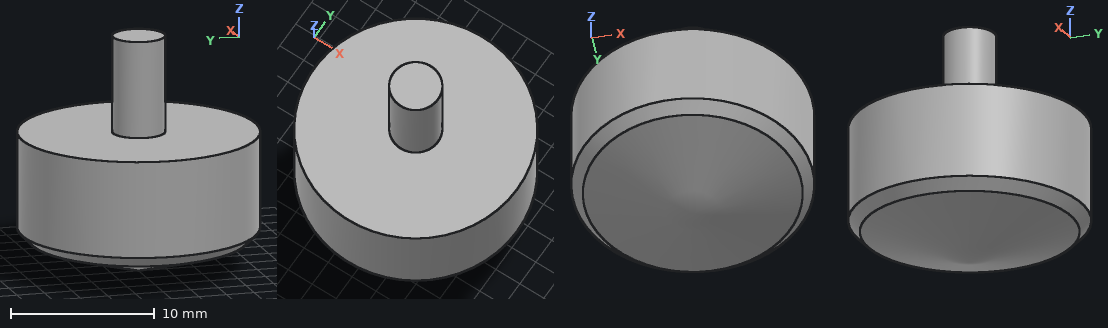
import cadquery as cq

total_height = 16.9
body_diameter = 16.9
stem_diameter = 3.7
stem_length = 6.9
cone_height = 2.32
chamfer = 0.81

body_radius = body_diameter / 2
stem_radius = stem_diameter / 2
cone_radius = body_radius - chamfer
wall_bottom = cone_height + chamfer
body_top = total_height - stem_length

half_section = (
    cq.Workplane("XZ")
    .moveTo(0, 0)
    .lineTo(cone_radius, cone_height)
    .lineTo(body_radius, wall_bottom)
    .lineTo(body_radius, body_top)
    .lineTo(stem_radius, body_top)
    .lineTo(stem_radius, total_height)
    .lineTo(0, total_height)
    .close()
)

result = half_section.revolve(360, (0, 0, 0), (0, 1, 0))